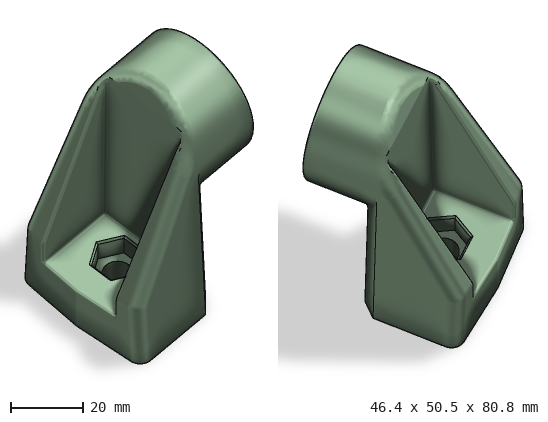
import cadquery as cq
import math

height = 80.8
head_radius = 20.2
head_overhang = 17.4
head_rim_radius = 1.0
foot_width = 46.4
body_depth = 33.05
ridge_drop = 1.6
back_chamfer = 4.05
neck_fillet = 1.5

slope_angle = 27.0
slope_top_y = -2.7
front_radius = 4.05

pocket_floor_z = 15.2
pocket_half_width = 13.5
pocket_back_y = -7.35
side_wall_draft = 1.0
back_wall_draft = 1.5
pocket_radius = 1.0

nut_across_flats = 13.0
nut_depth = 7.0
nut_chamfer = 0.6
bolt_diameter = 8.65

head_z = height - head_radius
half_foot = foot_width / 2
side_tilt = math.acos(head_radius / math.hypot(half_foot, head_z)) - math.atan2(head_z, half_foot)
side_top_x = head_radius * math.cos(side_tilt)
side_top_z = head_z + head_radius * math.sin(side_tilt)
slope_run = math.tan(math.radians(slope_angle))
corner_y = ridge_drop - body_depth
corner_z = height - (slope_top_y - corner_y) / slope_run
bolt_y = -body_depth / 2


def between_tapering_sides(back_y, front_y):
    """Prism bounded by the leaning side planes, up to where they touch the round head."""
    return (
        cq.Workplane("XZ", origin=(0, back_y, 0))
        .polyline([
            (-half_foot, 0),
            (half_foot, 0),
            (side_top_x, side_top_z),
            (-side_top_x, side_top_z),
        ])
        .close()
        .extrude(back_y - front_y)
    )


def tapered_body():
    """Tapering block with ridged front and back faces and chamfered back edges."""
    plan = (
        cq.Workplane("XY")
        .polyline([
            (0, 0),
            (half_foot, -ridge_drop),
            (half_foot, corner_y),
            (0, -body_depth),
            (-half_foot, corner_y),
            (-half_foot, -ridge_drop),
        ])
        .close()
        .extrude(height)
    )
    body = between_tapering_sides(0, -body_depth).intersect(plan)
    for side in (-1, 1):
        back_edge = cq.NearestToPointSelector((side * half_foot, -ridge_drop, side_top_z / 2))
        body = body.edges(back_edge).chamfer(back_chamfer)
    return body


def round_head():
    """Horizontal cylinder reaching forward to the front of the body."""
    return (
        cq.Workplane("XZ", origin=(0, head_overhang, 0))
        .circle(head_radius)
        .extrude(head_overhang + body_depth)
        .faces(">Y")
        .edges()
        .fillet(head_rim_radius)
        .rotate((0, 0, 0), (0, 1, 0), -90)
        .translate((0, 0, head_z))
    )


def neck_blend(body):
    """Rear slice of the body with the head filleted into the back face and chamfers."""
    front_y = -ridge_drop - back_chamfer
    neck_edges = cq.selectors.BoxSelector(
        (-half_foot, front_y, head_z - head_radius),
        (half_foot, neck_fillet, side_top_z),
    )
    blended = body.edges(neck_edges).fillet(neck_fillet)
    return blended.intersect(between_tapering_sides(neck_fillet, front_y))


def slope_cutter():
    """Everything in front of the sloping face."""
    slope_foot_y = slope_top_y - height * slope_run
    return (
        cq.Workplane("YZ")
        .polyline([(slope_top_y, height), (slope_foot_y, 0), (slope_foot_y, height)])
        .close()
        .extrude(foot_width, both=True)
    )


def round_front(body):
    """Round the outline of the sloping face and the two front corners below it."""
    slope_middle_z = (corner_z + side_top_z) / 2
    slope_middle_y = slope_top_y - (height - slope_middle_z) * slope_run
    middles = []
    for side in (-1, 1):
        middles += [
            (side * half_foot, slope_middle_y, slope_middle_z),
            (side * half_foot, corner_y, corner_z / 2),
            (side * half_foot / 2, corner_y, corner_z),
        ]
    front_edges = [body.edges(cq.NearestToPointSelector(middle)).val() for middle in middles]
    return body.newObject(front_edges).fillet(front_radius)


def pocket():
    """Space between the side walls, widening upwards and open at the top and the front."""
    rise = height - pocket_floor_z
    top_half_width = pocket_half_width + rise * math.tan(math.radians(side_wall_draft))
    top_back_y = pocket_back_y + rise * math.tan(math.radians(back_wall_draft))
    between_walls = (
        cq.Workplane("XZ")
        .polyline([
            (-pocket_half_width, pocket_floor_z),
            (pocket_half_width, pocket_floor_z),
            (top_half_width, height),
            (-top_half_width, height),
        ])
        .close()
        .extrude(2 * body_depth)
    )
    ahead_of_back_wall = (
        cq.Workplane("YZ")
        .polyline([
            (-2 * body_depth, pocket_floor_z),
            (pocket_back_y, pocket_floor_z),
            (top_back_y, height),
            (-2 * body_depth, height),
        ])
        .close()
        .extrude(half_foot, both=True)
    )
    inside_corners = cq.selectors.BoxSelector(
        (-half_foot, -1.5 * body_depth, 0),
        (half_foot, 0, pocket_floor_z + 0.75 * rise),
    )
    return (
        between_walls.intersect(ahead_of_back_wall)
        .edges(inside_corners)
        .fillet(pocket_radius)
    )


def round_pocket_rim(body):
    """Round the mouth of the pocket, starting from where each side wall meets the slope."""
    rim_z = (pocket_floor_z + height) / 2
    rim_y = slope_top_y - (height - rim_z) * slope_run
    rim_edges = [
        body.edges(cq.NearestToPointSelector((side * pocket_half_width, rim_y, rim_z))).val()
        for side in (-1, 1)
    ]
    return body.newObject(rim_edges).fillet(pocket_radius)


def bolt_seat():
    """Chamfered hexagonal nut pocket in the floor with a bolt hole through to the foot."""
    across_corners = nut_across_flats / math.cos(math.pi / 6)
    mouth_corners = (nut_across_flats + 2 * nut_chamfer) / math.cos(math.pi / 6)
    nut = (
        cq.Workplane("XY", origin=(0, bolt_y, pocket_floor_z))
        .polygon(6, across_corners)
        .extrude(-nut_depth)
    )
    mouth = (
        cq.Workplane("XY", origin=(0, bolt_y, pocket_floor_z))
        .polygon(6, mouth_corners)
        .workplane(offset=-nut_chamfer)
        .polygon(6, across_corners)
        .loft(ruled=True)
    )
    hole = (
        cq.Workplane("XY", origin=(0, bolt_y, 0))
        .circle(bolt_diameter / 2)
        .extrude(pocket_floor_z)
    )
    return nut.union(mouth).union(hole)


rough_body = tapered_body().union(round_head())
result = round_front(rough_body.cut(slope_cutter()))
result = round_pocket_rim(result.cut(pocket()))
result = result.union(neck_blend(rough_body)).cut(bolt_seat())